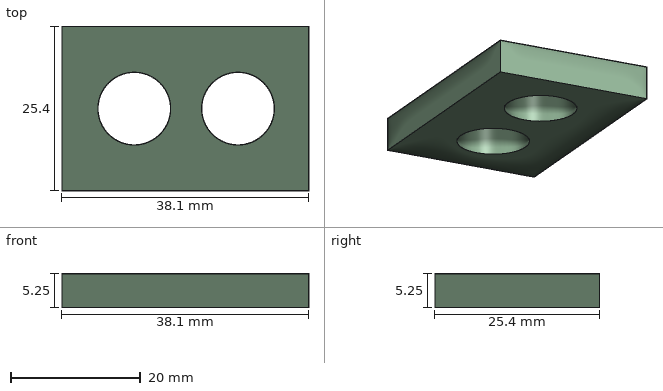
import cadquery as cq

length = 38.1
width = 25.4
thickness = 5.25

hole_diameter = 11.18
hole_spacing = 16.0
hole_pair_offset = 0.13


def make_plate():
    """Rectangular plate centred on the origin."""
    return cq.Workplane("XY").box(length, width, thickness)


def cut_holes(plate):
    """Cut the two holes right through the plate."""
    hole_centres = [(hole_pair_offset + side * hole_spacing / 2, 0) for side in (-1, 1)]
    return plate.faces(">Z").workplane(origin=(0, 0, 0)).pushPoints(hole_centres).hole(hole_diameter)


result = cut_holes(make_plate())